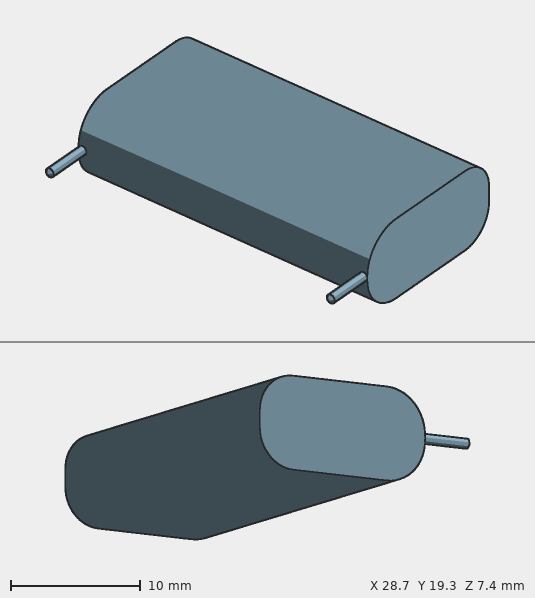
import cadquery as cq

length = 28.65
body_depth = 15.0
body_height = 7.4
front_radius = 3.5
back_radius = 3.0

overall_depth = 19.3
pin_diameter = 0.8
pin_radius = pin_diameter / 2
tip_length = 0.3
pin_length = overall_depth - body_depth
pin_root_depth = pin_radius
pin_offset = length / 2 - pin_radius


def make_body():
    """Block centred on X and Z, with its front face at Y = 0."""
    block = cq.Workplane("XY").box(length, body_depth, body_height)
    block = block.translate((0, body_depth / 2, 0))
    block = block.faces("<Y").edges("|X").fillet(front_radius)
    return block.faces(">Y").edges("|X").fillet(back_radius)


def make_pin(x):
    """Round pin along -Y, revolved about its own axis."""
    profile = (
        cq.Workplane("XY")
        .moveTo(0, pin_root_depth)
        .lineTo(pin_radius, pin_root_depth)
        .lineTo(pin_radius, tip_length - pin_length)
        .lineTo(0, -pin_length)
        .close()
    )
    return profile.revolve(360, (0, 0, 0), (0, 1, 0)).translate((x, 0, 0))


result = make_body()
for pin_x in (-pin_offset, pin_offset):
    result = result.union(make_pin(pin_x))